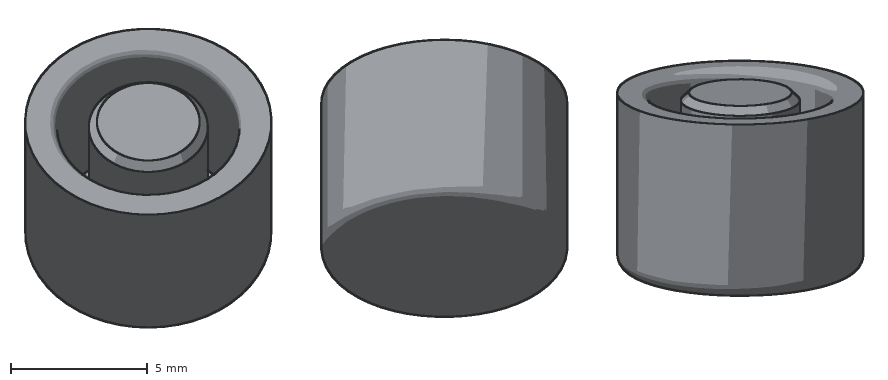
import cadquery as cq

outer_diameter = 9.0
height = 6.6
bottom_edge_radius = 0.5

bore_diameter = 6.65
rim_radius = 0.4
floor_thickness = 1.0
bore_depth = height - floor_thickness

pin_diameter = 4.35
pin_chamfer = 0.3


def make_cup():
    """Round cup with a rounded bottom edge and a rounded bore mouth."""
    body = cq.Workplane("XY").circle(outer_diameter / 2).extrude(height)
    body = body.faces("<Z").edges().fillet(bottom_edge_radius)
    cup = body.faces(">Z").workplane().hole(bore_diameter, bore_depth)
    bore_mouth = cq.selectors.RadiusNthSelector(0)
    return cup.faces(">Z").edges(bore_mouth).fillet(rim_radius)


def make_pin():
    """Chamfered pin standing on the cup base."""
    pin = cq.Workplane("XY").circle(pin_diameter / 2).extrude(height)
    return pin.faces(">Z").edges().chamfer(pin_chamfer)


result = make_cup().union(make_pin())